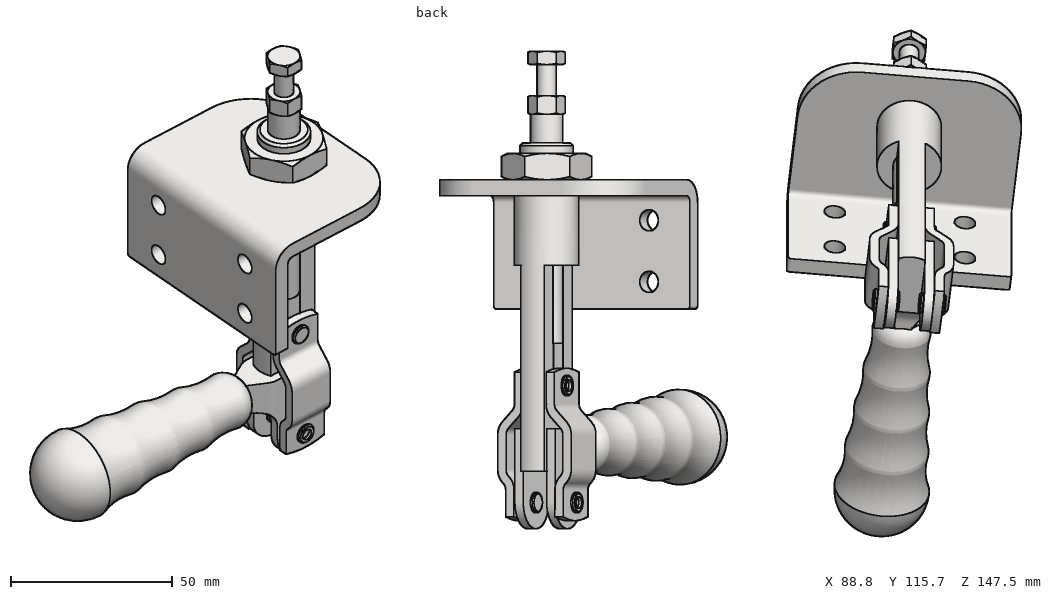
import cadquery as cq
import math

CLAMP_TURN = -29.0

BOLT_TOP = 147.5
PLATE_TOP = 107.8
FLATS_TOP = 81.4
PLUNGER_BOTTOM = 57.4
UPPER_PIN_Z = 44.2
LEVER_TOP = 31.0
LOWER_PIN_Z = 8.1

SHEET = 5.0
BRACKET_WIDTH = 69.3
BRACKET_HEIGHT = 40.0
BRACKET_FRONT = -33.8
BRACKET_BACK = 19.0
BEND_RADIUS = 7.0
PLATE_CORNER = 18.1
FLANGE_CORNER = 1.0
HOLE_D = 6.5
HOLE_PITCH_X = 40.4
HOLE_PITCH_Z = 19.0
HOLE_DROP = 12.5

BODY_D = 19.9
COLLAR_D = 16.5
COLLAR_TOP = 119.2
COLLAR_CHAMFER = 0.9
NUT_FLATS = 24.2
NUT_HEIGHT = 8.1
PLUNGER_D = 10.0
BOLT_D = 6.0
BOLT_FLATS = 10.0
HEAD_HEIGHT = 4.1
LOCKNUT_TOP = 133.8
LOCKNUT_HEIGHT = 5.8
HEX_TURN = 30.0
BODY_HALF = 4.1
BODY_BOTTOM = 17.7
SLOT_WIDTH = 6.2
SLOT_BOTTOM = 36.9
TAB_WIDTH = 5.6

STRIP = 3.0
LINK_WIDTH = 15.8
LINK_Y = -0.1
LINK_TOP = 49.5
LINK_BOTTOM = 2.5
LINK_CROWN = 1.2
LINK_BEND = 2.7
LINK_BEND_ANGLE = 45.0
LOWER_TAB_STEP = 3.1
BELLY_STEP = 5.9
BELLY_TOP = 31.4
BELLY_BOTTOM = 16.0
UPPER_PIN_Y = 0.3
LOWER_PIN_Y = -0.3
PIN_D = 6.3
PIN_HEAD = 1.0
PIN_CHAMFER = 0.5
SOCKET_D = 3.5
EAR_FRONT = -8.8
EAR_BACK = 7.4
WEB_FRONT = -18.9
WEB_HALF = 2.5
WEB_SHOULDER = -12.0
WEB_SHOULDER_HALF = 6.3
FORK_ROOT = -11.8
WEB_UNDERCUT_R = 7.4
WEB_UNDERCUT_Z = 12.7

GRIP_Z = 25.4
GRIP_TILT = 2.0
GRIP_START = 18.5
GRIP_START_R = 5.9
SHOULDER = 20.0
SHOULDER_R = 7.8
RIDGES = 4
FIRST_RIDGE = 23.6
RIDGE_PITCH = 15.2
FIRST_RIDGE_R = 9.1
RIDGE_STEP_R = 1.3
WAIST_DIP = 0.3
RIDGE_ROUND = 3.0
BALL_CENTRE = 84.8
BALL_R = 14.7


def cylinder(diameter, bottom, top):
    return cq.Workplane("XY").workplane(offset=bottom).circle(diameter / 2).extrude(top - bottom)


def block(x0, x1, y0, y1, z0, z1):
    return cq.Workplane("XY").box(x1 - x0, y1 - y0, z1 - z0, centered=False).translate((x0, y0, z0))


def hexagon(flats, bottom, top):
    """Hexagonal prism whose corners are bevelled by a cone at both ends."""
    corner_r = flats / math.sqrt(3)
    bevel = corner_r - flats / 2
    prism = cq.Workplane("XY").workplane(offset=bottom).polygon(6, 2 * corner_r).extrude(top - bottom)
    prism = prism.rotate((0, 0, 0), (0, 0, 1), HEX_TURN)
    envelope = cylinder(2 * corner_r, bottom, top).faces("<Z or >Z").chamfer(bevel / 2, bevel)
    return prism.intersect(envelope)


def bracket():
    half = BRACKET_WIDTH / 2
    bottom = PLATE_TOP - BRACKET_HEIGHT
    angle = (
        cq.Workplane("YZ")
        .moveTo(BRACKET_BACK, PLATE_TOP)
        .lineTo(BRACKET_FRONT, PLATE_TOP)
        .lineTo(BRACKET_FRONT, bottom)
        .lineTo(BRACKET_FRONT + SHEET, bottom)
        .lineTo(BRACKET_FRONT + SHEET, PLATE_TOP - SHEET)
        .lineTo(BRACKET_BACK, PLATE_TOP - SHEET)
        .close()
        .extrude(half, both=True)
    )
    angle = angle.edges("|X and >Z and <Y").fillet(BEND_RADIUS)
    inner_edge = cq.selectors.NearestToPointSelector((0, BRACKET_FRONT + SHEET, PLATE_TOP - SHEET))
    angle = angle.edges(inner_edge).fillet(BEND_RADIUS - SHEET)
    angle = angle.edges("|Z and >Y").fillet(PLATE_CORNER)
    angle = angle.faces("<Z").edges("|Y").fillet(FLANGE_CORNER)
    upper_row = PLATE_TOP - HOLE_DROP
    spots = [(sx * HOLE_PITCH_X / 2, z) for sx in (-1, 1) for z in (upper_row, upper_row - HOLE_PITCH_Z)]
    drills = (
        cq.Workplane("XZ", origin=(0, BRACKET_FRONT, 0)).pushPoints(spots).circle(HOLE_D / 2).extrude(-SHEET)
    )
    return angle.cut(drills)


def guide_body():
    tube = cylinder(BODY_D, FLATS_TOP, PLATE_TOP)
    rail = cylinder(BODY_D, BODY_BOTTOM, FLATS_TOP)
    rail = rail.intersect(block(-BODY_HALF, BODY_HALF, -BODY_D, BODY_D, BODY_BOTTOM, FLATS_TOP))
    half_slot = SLOT_WIDTH / 2
    rail = rail.cut(block(-BODY_D, BODY_D, -half_slot, half_slot, SLOT_BOTTOM, FLATS_TOP))
    collar = cylinder(COLLAR_D, PLATE_TOP, COLLAR_TOP).faces(">Z").chamfer(COLLAR_CHAMFER)
    nut = hexagon(NUT_FLATS, PLATE_TOP, PLATE_TOP + NUT_HEIGHT)
    return tube.union(rail).union(collar).union(nut)


def plunger():
    half_tab = TAB_WIDTH / 2
    locknut_bottom = LOCKNUT_TOP - LOCKNUT_HEIGHT
    rod = cylinder(PLUNGER_D, PLUNGER_BOTTOM, locknut_bottom)
    tab = block(-BODY_HALF, BODY_HALF, -half_tab, half_tab, SLOT_BOTTOM, PLUNGER_BOTTOM)
    locknut = hexagon(BOLT_FLATS, locknut_bottom, LOCKNUT_TOP)
    shank = cylinder(BOLT_D, LOCKNUT_TOP, BOLT_TOP - HEAD_HEIGHT)
    head = hexagon(BOLT_FLATS, BOLT_TOP - HEAD_HEIGHT, BOLT_TOP)
    return rod.union(tab).union(locknut).union(shank).union(head)


def bend_edge(x, z):
    """Picks the edge along Y that passes nearest to (x, z)."""
    return cq.selectors.NearestToPointSelector((x, 0, z))


def link(side):
    """Bent strip beside the body: close at the top, bellied in the middle, stepped out at the bottom."""
    near = BODY_HALF
    low = near + LOWER_TAB_STEP
    belly = near + BELLY_STEP
    shift = STRIP * math.tan(math.radians(LINK_BEND_ANGLE / 2))
    slope = math.tan(math.radians(LINK_BEND_ANGLE))
    outer_bends = [
        (near + STRIP, BELLY_TOP + BELLY_STEP * slope),
        (belly + STRIP, BELLY_TOP),
        (belly + STRIP, BELLY_BOTTOM),
        (low + STRIP, BELLY_BOTTOM - (belly - low) * slope),
    ]
    shifts = (-shift, -shift, shift, shift)
    inner_bends = [(x - STRIP, z + dz) for (x, z), dz in zip(outer_bends, shifts)]
    outer = [(near + STRIP, LINK_TOP)] + outer_bends + [(low + STRIP, LINK_BOTTOM)]
    inner = [(near, LINK_TOP)] + inner_bends + [(low, LINK_BOTTOM)]
    strip = cq.Workplane("XZ").polyline(outer + inner[::-1]).close().extrude(LINK_WIDTH / 2, both=True)

    tight = LINK_BEND
    wide = LINK_BEND + STRIP
    outer_radii = (tight, wide, wide, tight)
    inner_radii = (wide, tight, tight, wide)
    for bends, radii in ((outer_bends, outer_radii), (inner_bends, inner_radii)):
        for (x, z), radius in zip(bends, radii):
            strip = strip.edges("|Y").edges(bend_edge(x, z)).fillet(radius)

    half = LINK_WIDTH / 2
    crowned = (
        cq.Workplane("YZ")
        .moveTo(-half, LINK_BOTTOM + LINK_CROWN)
        .threePointArc((0, LINK_BOTTOM), (half, LINK_BOTTOM + LINK_CROWN))
        .lineTo(half, LINK_TOP - LINK_CROWN)
        .threePointArc((0, LINK_TOP), (-half, LINK_TOP - LINK_CROWN))
        .close()
        .extrude(BODY_D)
    )
    strip = strip.intersect(crowned).translate((0, LINK_Y, 0))
    return strip if side > 0 else strip.mirror("YZ")


def lever():
    """Fork of two ears joined in front of the body by a web that narrows towards the grip."""
    outer = BODY_HALF + STRIP
    web_bottom = WEB_UNDERCUT_Z + WEB_UNDERCUT_R
    profile = (
        cq.Workplane("YZ")
        .moveTo(WEB_FRONT, LEVER_TOP)
        .lineTo(WEB_FRONT, web_bottom)
        .lineTo(EAR_FRONT - WEB_UNDERCUT_R, web_bottom)
        .radiusArc((EAR_FRONT, WEB_UNDERCUT_Z), WEB_UNDERCUT_R)
        .lineTo(EAR_FRONT, LOWER_PIN_Z)
        .threePointArc((LOWER_PIN_Y, 0), (EAR_BACK, LOWER_PIN_Z))
        .lineTo(EAR_BACK, LEVER_TOP)
        .close()
        .extrude(outer, both=True)
    )
    plan = (
        cq.Workplane("XY")
        .moveTo(-outer, EAR_BACK)
        .lineTo(-outer, EAR_FRONT)
        .tangentArcPoint((-WEB_SHOULDER_HALF, WEB_SHOULDER), relative=False)
        .lineTo(-WEB_HALF, WEB_FRONT)
        .lineTo(WEB_HALF, WEB_FRONT)
        .lineTo(WEB_SHOULDER_HALF, WEB_SHOULDER)
        .tangentArcPoint((outer, EAR_FRONT), relative=False)
        .lineTo(outer, EAR_BACK)
        .close()
        .extrude(LEVER_TOP)
    )
    gap = block(-BODY_HALF, BODY_HALF, EAR_FRONT, EAR_BACK, 0, LEVER_TOP)
    gap = gap.union(block(-BODY_HALF, BODY_HALF, FORK_ROOT, EAR_BACK, 0, BODY_BOTTOM))
    return profile.intersect(plan).cut(gap)


def pin(x0, x1, y, z):
    rivet = cq.Workplane("YZ", origin=(x0, y, z)).circle(PIN_D / 2).extrude(x1 - x0)
    return rivet.faces("<X or >X").chamfer(PIN_CHAMFER)


def socket(x, y, z):
    return cq.Workplane("YZ", origin=(x, y, z)).circle(SOCKET_D / 2).extrude(PIN_HEAD, both=True)


def grip():
    ridges = [(FIRST_RIDGE_R + i * RIDGE_STEP_R, FIRST_RIDGE + i * RIDGE_PITCH) for i in range(RIDGES)]
    ball_edge = FIRST_RIDGE + RIDGES * RIDGE_PITCH
    ball_edge_r = math.sqrt(BALL_R**2 - (BALL_CENTRE - ball_edge) ** 2)
    ends = ridges[1:] + [(ball_edge_r, ball_edge)]
    profile = (
        cq.Workplane("XY")
        .moveTo(0, GRIP_START)
        .lineTo(GRIP_START_R, GRIP_START)
        .threePointArc((SHOULDER_R, SHOULDER), ridges[0])
    )
    for (r, s), end in zip(ridges, ends):
        profile = profile.threePointArc((r - WAIST_DIP, s + RIDGE_PITCH / 2), end)
    profile = profile.threePointArc((BALL_R, BALL_CENTRE), (0, BALL_CENTRE + BALL_R)).close()
    solid = profile.revolve(360, (0, 0, 0), (0, 1, 0))
    for r, s in ridges[1:]:
        rim = cq.selectors.BoxSelector((-r, s - RIDGE_ROUND, -r), (r, s + RIDGE_ROUND, r))
        solid = solid.edges(rim).edges("%CIRCLE").fillet(RIDGE_ROUND)
    solid = solid.rotate((0, 0, 0), (0, 0, 1), 180).rotate((0, 0, 0), (1, 0, 0), -GRIP_TILT)
    return solid.translate((0, 0, GRIP_Z))


upper_end = BODY_HALF + STRIP + PIN_HEAD
lower_end = upper_end + LOWER_TAB_STEP
inner_end = BODY_HALF - PIN_HEAD

clamp = guide_body().union(plunger()).union(bracket()).union(lever()).union(grip())
for side in (-1, 1):
    clamp = clamp.union(link(side))
clamp = clamp.union(pin(-upper_end, upper_end, UPPER_PIN_Y, UPPER_PIN_Z))
clamp = clamp.union(pin(-lower_end, -inner_end, LOWER_PIN_Y, LOWER_PIN_Z))
clamp = clamp.union(pin(inner_end, lower_end, LOWER_PIN_Y, LOWER_PIN_Z))
clamp = clamp.cut(socket(-upper_end, UPPER_PIN_Y, UPPER_PIN_Z))
for x in (-lower_end, lower_end):
    clamp = clamp.cut(socket(x, LOWER_PIN_Y, LOWER_PIN_Z))

result = clamp.rotate((0, 0, 0), (0, 0, 1), CLAMP_TURN)